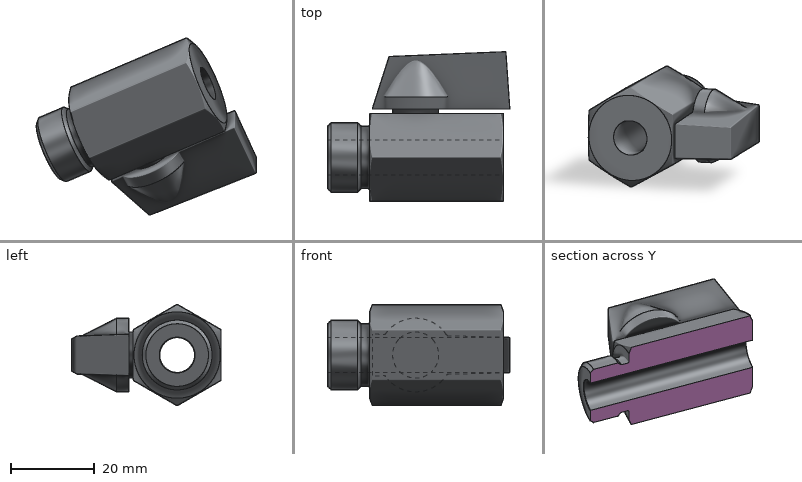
import math

import cadquery as cq

hex_start = 10.0
hex_end = 42.0
hex_flats = 21.0
hex_edge_radius = 0.5
hex_face_diameter = 20.6
hex_chamfer_angle = 20.0
hex_chamfer_blend = 0.2

thread_diameter = 16.66
thread_end = 7.15
thread_chamfer = 0.85
neck_diameter = 14.95
neck_start = 8.0
neck_fillet = 0.4
bore_diameter = 8.3
bore_chamfer = 0.12

stem_x = 21.0
stem_diameter = 11.0
handle_bottom = 11.5
handle_back_x = 10.6
handle_back_top = (14.65, 24.1)
handle_tip_top = (42.55, 25.26)
handle_tip_x = 43.5
handle_half_width = 5.0
handle_taper_x = 0.023
handle_taper_y = 0.0255
handle_edge_fillet = 0.3
handle_bottom_fillet = 0.2

hub_diameter = 17.6
hub_height = 2.95
hub_top = 23.5
hub_cone_angle = 27.0
hub_fillet = 0.5


def make_hexagon():
    """Hexagonal bar with flats facing +Y and -Y and its end corners chamfered by a cone."""
    corner_radius = hex_flats / math.sqrt(3)
    length = hex_end - hex_start
    bar = (
        cq.Workplane("YZ", origin=(hex_start, 0, 0))
        .transformed(rotate=(0, 0, 90))
        .polygon(6, 2 * corner_radius)
        .extrude(length)
        .edges("|X")
        .fillet(hex_edge_radius)
    )
    face_radius = hex_face_diameter / 2
    chamfer_depth = (corner_radius - face_radius) * math.tan(math.radians(hex_chamfer_angle))
    envelope = (
        cq.Workplane("XY")
        .moveTo(hex_start, 0)
        .lineTo(hex_start, face_radius)
        .lineTo(hex_start + chamfer_depth, corner_radius)
        .lineTo(hex_end - chamfer_depth, corner_radius)
        .lineTo(hex_end, face_radius)
        .lineTo(hex_end, 0)
        .close()
        .revolve(360, (0, 0, 0), (1, 0, 0))
    )
    hexagon = bar.intersect(envelope)
    return hexagon.faces("%CONE").edges("not %CIRCLE").fillet(hex_chamfer_blend)


def make_threaded_end():
    """Plain cylinder at the thread diameter, with an undercut neck filleted into the hexagon."""
    thread_radius = thread_diameter / 2
    neck_radius = neck_diameter / 2
    return (
        cq.Workplane("XY")
        .lineTo(0, thread_radius - thread_chamfer)
        .lineTo(thread_chamfer, thread_radius)
        .lineTo(thread_end, thread_radius)
        .lineTo(neck_start, neck_radius)
        .lineTo(hex_start - neck_fillet, neck_radius)
        .radiusArc((hex_start, neck_radius + neck_fillet), -neck_fillet)
        .lineTo(hex_start, 0)
        .close()
        .revolve(360, (0, 0, 0), (1, 0, 0))
    )


def make_bore():
    """Through bore with a small chamfer at the threaded face."""
    bore = cq.Workplane("YZ").circle(bore_diameter / 2).extrude(hex_end)
    mouth_radius = bore_diameter / 2 + bore_chamfer
    mouth = cq.Workplane("YZ").circle(mouth_radius).extrude(bore_chamfer, taper=45)
    return bore.union(mouth)


def make_grip():
    """Flat grip whose two sides draw in towards the top and the tip."""
    grip = (
        cq.Workplane("XY")
        .polyline(
            [
                (handle_back_x, handle_bottom),
                (handle_tip_x, handle_bottom),
                handle_tip_top,
                handle_back_top,
            ]
        )
        .close()
        .extrude(handle_half_width, both=True)
    )
    cutter_size = 4 * handle_tip_x
    for side in (1, -1):
        side_plane = cq.Plane(
            origin=(handle_back_x, handle_bottom, side * handle_half_width),
            xDir=(1, 0, -side * handle_taper_x),
            normal=(handle_taper_x, handle_taper_y, side),
        )
        cutter = cq.Workplane(side_plane).rect(cutter_size, cutter_size).extrude(handle_half_width)
        grip = grip.cut(cutter)
    return grip.edges("not <Y").fillet(handle_edge_fillet)


def make_hub():
    """Round hub with a conical top, centred on the stem axis."""
    hub_radius = hub_diameter / 2
    shoulder = handle_bottom + hub_height
    hub_top_radius = hub_radius - (hub_top - shoulder) * math.tan(math.radians(hub_cone_angle))
    return (
        cq.Workplane("XY")
        .moveTo(stem_x, handle_bottom)
        .lineTo(stem_x + hub_radius, handle_bottom)
        .lineTo(stem_x + hub_radius, shoulder)
        .lineTo(stem_x + hub_top_radius, hub_top)
        .lineTo(stem_x, hub_top)
        .close()
        .revolve(360, (stem_x, 0, 0), (stem_x, 1, 0))
    )


def make_handle():
    """Grip and hub, blended where the hub meets the grip sides and eased around the underside."""
    handle = make_grip().union(make_hub())
    handle = handle.edges("(%HYPERBOLA or %ELLIPSE) exc <Y").fillet(hub_fillet)
    return handle.faces("<Y").edges().fillet(handle_bottom_fillet)


def make_stem():
    """Stem from inside the body, clear of the bore, up to the handle."""
    stem_bottom = (hex_flats + bore_diameter) / 4
    return (
        cq.Workplane("XZ", origin=(stem_x, stem_bottom, 0))
        .circle(stem_diameter / 2)
        .extrude(stem_bottom - handle_bottom)
    )


body = make_hexagon().union(make_threaded_end()).cut(make_bore())
result = body.union(make_stem()).union(make_handle())